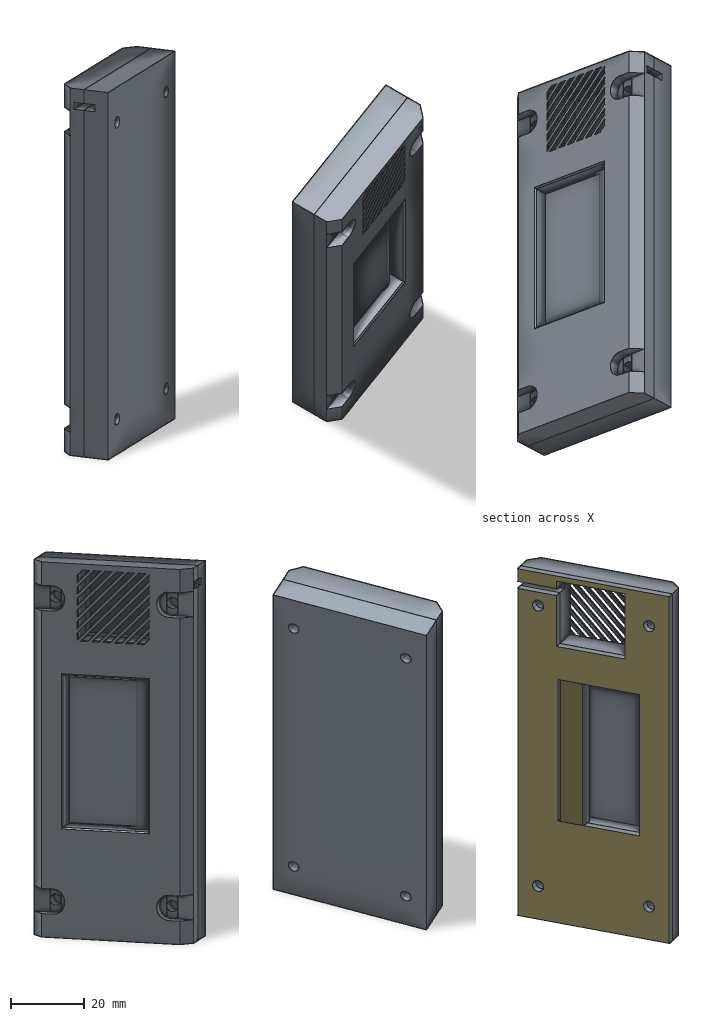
import cadquery as cq
import math

length = 104
width = 45.2
thickness = 14.4
parting_x = 7.2
edge_chamfer = 3.0
back_wall = 2.6

screw_y = 16.5
screw_z = 42.0
screw_hole_diameter = 3.1
head_recess_width = 7.0
head_recess_depth = edge_chamfer
bridge_step_depth = 0.2

roll_diameter = 8.0
roll_radius = roll_diameter / 2
display_z = -0.2
roll_y = -6.5
screen_depth = 3.0
screen_top_y = 12.9
screen_length = 41.0
screen_thickness = 1.6
screen_chamfer = 0.3

pocket_length = 42.2
pocket_min_y = roll_y - roll_radius
pocket_max_y = 13.6
pocket_width = pocket_max_y - pocket_min_y
pocket_y = (pocket_max_y + pocket_min_y) / 2
pocket_floor_x = screen_depth + roll_diameter
window_chamfer = 0.4

grille_min_y = -10.9
grille_max_y = 9.6
grille_min_z = 30.6
grille_max_z = 50.3
grille_width = grille_max_y - grille_min_y
grille_height = grille_max_z - grille_min_z
grille_y = (grille_max_y + grille_min_y) / 2
grille_z = (grille_max_z + grille_min_z) / 2
chamber_inset = 0.3
slit_count = 12
slit_width = 1.4
slit_pitch = 2.26
grille_thickness = 0.5

port_min_x = 4.2
port_max_x = 10.4
port_z = 47.1
port_height = 2.0


def block(x_range, y_range, z_range):
    """Box between two limits on each axis."""
    spans = [high - low for low, high in (x_range, y_range, z_range)]
    corner = (x_range[0], y_range[0], z_range[0])
    return cq.Workplane("XY").box(*spans, centered=False).translate(corner)


def full_case():
    """Solid outline of the closed case, chamfered along its two long front edges."""
    body = block((0, thickness), (-width / 2, width / 2), (-length / 2, length / 2))
    return body.faces("<X").edges("|Z").chamfer(edge_chamfer)


def display_pocket():
    """Straight pocket for the display, flared at the front face by the window chamfer."""
    pocket = block(
        (0, pocket_floor_x),
        (pocket_min_y, pocket_max_y),
        (display_z - pocket_length / 2, display_z + pocket_length / 2),
    )
    flare = (
        cq.Workplane("YZ")
        .center(pocket_y, display_z)
        .rect(pocket_width + 2 * window_chamfer, pocket_length + 2 * window_chamfer)
        .workplane(offset=window_chamfer)
        .rect(pocket_width, pocket_length)
        .loft(ruled=True)
    )
    return pocket.union(flare)


def speaker_chamber():
    """Chamber between the thin grille and the back wall."""
    return block(
        (grille_thickness, thickness - back_wall),
        (grille_min_y, grille_max_y - chamber_inset),
        (grille_min_z + chamber_inset, grille_max_z),
    )


def grille_slits():
    """Diagonal slits through the grille, trimmed to the grille rectangle."""
    positions = [(i - (slit_count - 1) / 2) * slit_pitch for i in range(slit_count)]
    slit_length = math.hypot(grille_width, grille_height)
    slits = (
        cq.Workplane("YZ")
        .center(grille_y, grille_z)
        .transformed(rotate=(0, 0, 45))
        .pushPoints([(position, 0) for position in positions])
        .rect(slit_width, slit_length)
        .extrude(grille_thickness)
    )
    opening = block((0, grille_thickness), (grille_min_y, grille_max_y), (grille_min_z, grille_max_z))
    return slits.intersect(opening)


def side_port():
    """Slot through the -Y side wall, reaching the speaker chamber across the parting plane."""
    return block(
        (port_min_x, port_max_x),
        (-width / 2, grille_min_y),
        (port_z - port_height / 2, port_z + port_height / 2),
    )


def screw_cut(side, z):
    """Through hole with a head recess open to the side, and a shallow step across its floor.

    side is +1 for the +Y edge of the case and -1 for the -Y edge.
    """
    y = side * screw_y
    hole = cq.Workplane("YZ").center(y, z).circle(screw_hole_diameter / 2).extrude(thickness)
    recess_end = (
        cq.Workplane("YZ")
        .center(y, z)
        .circle(head_recess_width / 2)
        .extrude(head_recess_depth + bridge_step_depth)
    )
    step = block(
        (0, head_recess_depth + bridge_step_depth),
        (y - screw_hole_diameter / 2, y + screw_hole_diameter / 2),
        (z - head_recess_width / 2, z + head_recess_width / 2),
    ).intersect(recess_end)
    run_out = block(
        (0, head_recess_depth),
        sorted((y, side * width / 2)),
        (z - head_recess_width / 2, z + head_recess_width / 2),
    )
    head = cq.Workplane("YZ").center(y, z).circle(head_recess_width / 2).extrude(head_recess_depth)
    return hole.union(step).union(head).union(run_out)


def hollow_case():
    """Closed case with every opening that the two halves share."""
    case = full_case()
    case = case.cut(display_pocket()).cut(speaker_chamber()).cut(grille_slits()).cut(side_port())
    for side in (-1, 1):
        for z in (-screw_z, screw_z):
            case = case.cut(screw_cut(side, z))
    return case


def case_half(min_x, max_x):
    """Part of the hollow case between two planes across X."""
    return hollow_case().intersect(
        block((min_x, max_x), (-width / 2, width / 2), (-length / 2, length / 2))
    )


def display_module():
    """Roll filling the pocket lengthwise, with the screen plate leaving it at a tangent."""
    roll = (
        cq.Workplane("XY", origin=(screen_depth + roll_radius, roll_y, display_z - pocket_length / 2))
        .circle(roll_radius)
        .extrude(pocket_length)
    )
    screen = block(
        (screen_depth, screen_depth + screen_thickness),
        (roll_y, screen_top_y),
        (display_z - screen_length / 2, display_z + screen_length / 2),
    )
    outer_edges = screen.faces("<X").edges("|Y or >Y")
    screen = screen.newObject(outer_edges.vals()).chamfer(screen_chamfer)
    return roll.union(screen)


front_cover = case_half(0, parting_x)
back_cover = case_half(parting_x, thickness)
display = display_module()

result = cq.Compound.makeCompound([front_cover.val(), back_cover.val(), display.val()])